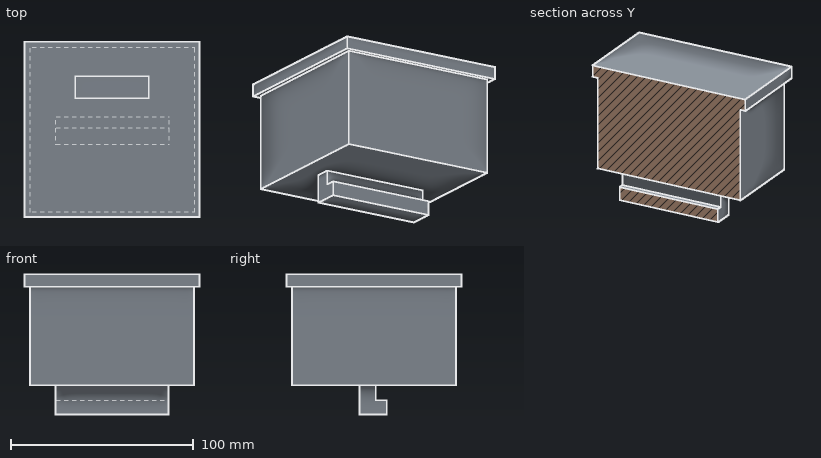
import cadquery as cq

bezel_side = 96.0
bezel_thickness = 7.0

body_side = 90.0
body_depth = 54.0

hook_length = 62.0
overall_height = 77.0
hook_height = overall_height - bezel_thickness - body_depth
hook_back_y = -8.0
stem_thickness = 9.0
foot_width = 15.0
foot_height = 8.0

window_length = 40.0
window_width = 12.0
window_center_y = 23.0
window_depth = 0.1

body_top_z = body_depth
bezel_top_z = body_top_z + bezel_thickness


def make_bezel():
    return (
        cq.Workplane("XY")
        .workplane(offset=body_top_z)
        .rect(bezel_side, bezel_side)
        .extrude(bezel_thickness)
    )


def make_body():
    return cq.Workplane("XY").rect(body_side, body_side).extrude(body_depth)


def make_hook():
    """L-shaped strip: a stem under the housing with a foot turned toward +Y."""
    stem_front_y = hook_back_y + stem_thickness
    foot_tip_y = hook_back_y + foot_width
    foot_top_z = foot_height - hook_height
    profile = [
        (hook_back_y, 0),
        (hook_back_y, -hook_height),
        (foot_tip_y, -hook_height),
        (foot_tip_y, foot_top_z),
        (stem_front_y, foot_top_z),
        (stem_front_y, 0),
    ]
    return cq.Workplane("YZ").polyline(profile).close().extrude(hook_length / 2, both=True)


def make_window_recess():
    """Very shallow recess for the window on the bezel face."""
    return (
        cq.Workplane("XY")
        .workplane(offset=bezel_top_z)
        .center(0, window_center_y)
        .rect(window_length, window_width)
        .extrude(-window_depth)
    )


result = make_body().union(make_bezel()).union(make_hook()).cut(make_window_recess())